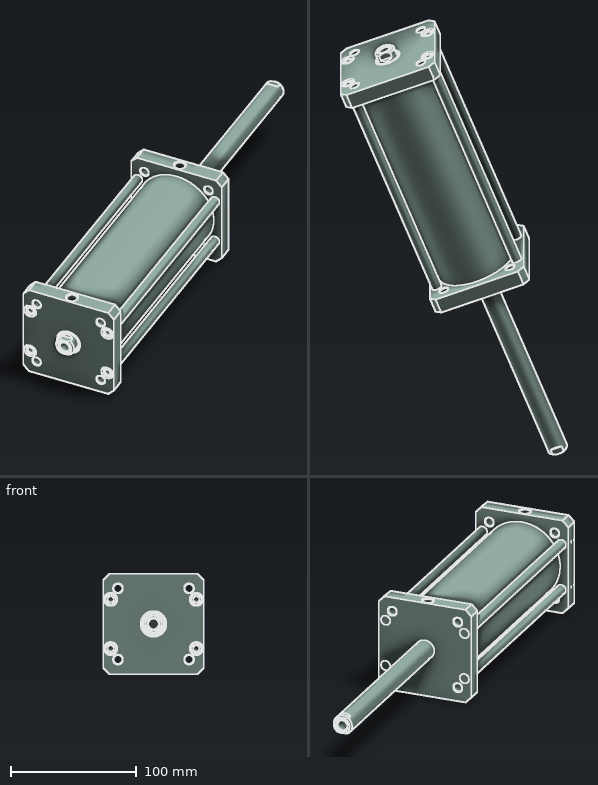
import cadquery as cq
import math


total_length = 385.0
body_length = 209.0
nose_length = 8.0

plate_size = 80.0
plate_thickness = 12.5
plate_corner_chamfer = 5.0
mount_spacing = 56.5
mount_hole_diameter = 6.9
mount_mouth_diameter = 8.0

port_diameter = 8.57
port_mouth_diameter = 10.0
port_depth = 10.0
port_bar_diameter = 4.0
port_bar_depth = 9.0

tube_outer_diameter = 66.0
tube_bore = 63.0

rod_diameter = 16.0
rod_end_chamfer = 1.5
rod_flat_width = 13.0
rod_flat_length = 5.5
rod_hole_diameter = 8.38
rod_hole_mouth_diameter = 10.0
rod_hole_depth = 20.0
rod_hole_point_angle = 170.0

tie_spacing_x = 68.0
tie_spacing_z = 39.0
tie_diameter = 8.0
tie_end_recess = 1.0
tie_hole_diameter = 4.92
tie_hole_depth = 15.0
tie_pocket_diameter = 10.5
tie_pocket_depth = 5.0
drill_point_angle = 118.0

seal_seat_diameter = 20.5
seal_outer_diameter = 20.32
seal_mouth_diameter = 18.0
seal_length = 5.0

front_face = 0.0
front_inner_face = front_face + plate_thickness
rear_face = front_face + body_length
rear_inner_face = rear_face - plate_thickness
rod_front = front_face - nose_length
rod_rear = rod_front + total_length
tie_front = front_face + tie_end_recess

REARWARD = cq.Vector(0, 1, 0)
FORWARD = cq.Vector(0, -1, 0)
DOWN = cq.Vector(0, 0, -1)


def corner_points(spacing_x, spacing_z):
    """X and Z of four points on the corners of a rectangle around the axis."""
    return [(sx * spacing_x / 2, sz * spacing_z / 2) for sx in (-1, 1) for sz in (-1, 1)]


def cylinder_y(diameter, start, end, x=0.0, z=0.0):
    """A cylinder along Y between two stations."""
    centre = cq.Vector(x, start, z)
    return cq.Workplane(cq.Solid.makeCylinder(diameter / 2, end - start, centre, REARWARD))


def countersink(mouth_diameter, hole_diameter, mouth, direction):
    """A 45 degree cone that narrows from the mouth of a hole to the hole."""
    depth = (mouth_diameter - hole_diameter) / 2
    cone = cq.Solid.makeCone(mouth_diameter / 2, hole_diameter / 2, depth, mouth, direction)
    return cq.Workplane(cone)


def blind_hole(diameter, depth, mouth, direction, point_angle):
    """A drilled hole with a conical bottom."""
    point_length = diameter / 2 / math.tan(math.radians(point_angle / 2))
    shank = cq.Solid.makeCylinder(diameter / 2, depth, mouth, direction)
    point = cq.Solid.makeCone(diameter / 2, 0, point_length, mouth + direction * depth, direction)
    return cq.Workplane(shank).union(cq.Workplane(point))


tie_points = corner_points(tie_spacing_x, tie_spacing_z)
mount_points = corner_points(mount_spacing, mount_spacing)


def cut_mount_hole(plate, start, end, x, z):
    """A through hole countersunk on both faces of the plate."""
    plate = plate.cut(cylinder_y(mount_hole_diameter, start, end, x, z))
    for station, direction in ((start, REARWARD), (end, FORWARD)):
        mouth = cq.Vector(x, station, z)
        plate = plate.cut(countersink(mount_mouth_diameter, mount_hole_diameter, mouth, direction))
    return plate


def cut_port(plate, start, end):
    """A countersunk port in the top of the plate, crossed by a bar along Y."""
    top = plate_size / 2
    mouth = cq.Vector(0, (start + end) / 2, top)
    plate = plate.cut(blind_hole(port_diameter, port_depth, mouth, DOWN, drill_point_angle))
    plate = plate.cut(countersink(port_mouth_diameter, port_diameter, mouth, DOWN))
    return plate.union(cylinder_y(port_bar_diameter, start, end, 0, top - port_bar_depth))


def end_plate(start, end):
    plate = cq.Workplane("XY").box(plate_size, end - start, plate_size)
    plate = plate.edges("|Y").chamfer(plate_corner_chamfer).translate((0, (start + end) / 2, 0))
    plate = plate.cut(cylinder_y(rod_diameter, start, end))
    for x, z in mount_points:
        plate = cut_mount_hole(plate, start, end, x, z)
    for x, z in tie_points:
        plate = plate.cut(cylinder_y(tie_diameter, start, end, x, z))
    return cut_port(plate, start, end)


def make_front_plate():
    """An end plate with a seal seat and a pocket around each tie rod end."""
    plate = end_plate(front_face, front_inner_face)
    plate = plate.cut(cylinder_y(seal_seat_diameter, front_face, front_face + seal_length))
    for x, z in tie_points:
        pocket = cylinder_y(tie_pocket_diameter, front_face, front_face + tie_pocket_depth, x, z)
        plate = plate.cut(pocket)
    return plate


def make_tube():
    tube = cylinder_y(tube_outer_diameter, front_inner_face, rear_inner_face)
    return tube.cut(cylinder_y(tube_bore, front_inner_face, rear_inner_face))


def wrench_flat_cutter(end, direction, side):
    """The stock above one wrench flat; the flat runs out at 45 degrees."""
    flat_z = side * rod_flat_width / 2
    clear_z = side * rod_diameter
    flat_end = end + direction.y * rod_flat_length
    runout_end = flat_end + direction.y * abs(clear_z - flat_z)
    profile = [(end, flat_z), (flat_end, flat_z), (runout_end, clear_z), (end, clear_z)]
    return cq.Workplane("YZ").polyline(profile).close().extrude(rod_diameter / 2, both=True)


def make_piston_rod():
    """A chamfered rod with two wrench flats and a countersunk hole at each end."""
    rod = cylinder_y(rod_diameter, rod_front, rod_rear)
    rod = rod.faces("<Y or >Y").chamfer(rod_end_chamfer)
    for end, direction in ((rod_front, REARWARD), (rod_rear, FORWARD)):
        for side in (-1, 1):
            rod = rod.cut(wrench_flat_cutter(end, direction, side))
        mouth = cq.Vector(0, end, 0)
        rod = rod.cut(blind_hole(rod_hole_diameter, rod_hole_depth, mouth, direction, rod_hole_point_angle))
        rod = rod.cut(countersink(rod_hole_mouth_diameter, rod_hole_diameter, mouth, direction))
    return rod


def make_rod_seal():
    """A ring around the piston rod, countersunk on its front face."""
    seal = cylinder_y(seal_outer_diameter, front_face, front_face + seal_length)
    seal = seal.cut(cylinder_y(rod_diameter, front_face, front_face + seal_length))
    mouth = cq.Vector(0, front_face, 0)
    return seal.cut(countersink(seal_mouth_diameter, rod_diameter, mouth, REARWARD))


def make_tie_rod(x, z):
    """A rod through both plates with a blind hole in its front end."""
    tie = cylinder_y(tie_diameter, tie_front, rear_face, x, z)
    mouth = cq.Vector(x, tie_front, z)
    return tie.cut(blind_hole(tie_hole_diameter, tie_hole_depth, mouth, REARWARD, drill_point_angle))


front_plate = make_front_plate()
rear_plate = end_plate(rear_inner_face, rear_face)
tube = make_tube()
piston_rod = make_piston_rod()
rod_seal = make_rod_seal()
tie_rods = [make_tie_rod(x, z) for x, z in tie_points]

result = cq.Compound.makeCompound([
    front_plate.val(),
    rear_plate.val(),
    tube.val(),
    piston_rod.val(),
    rod_seal.val(),
    *[tie_rod.val() for tie_rod in tie_rods],
])